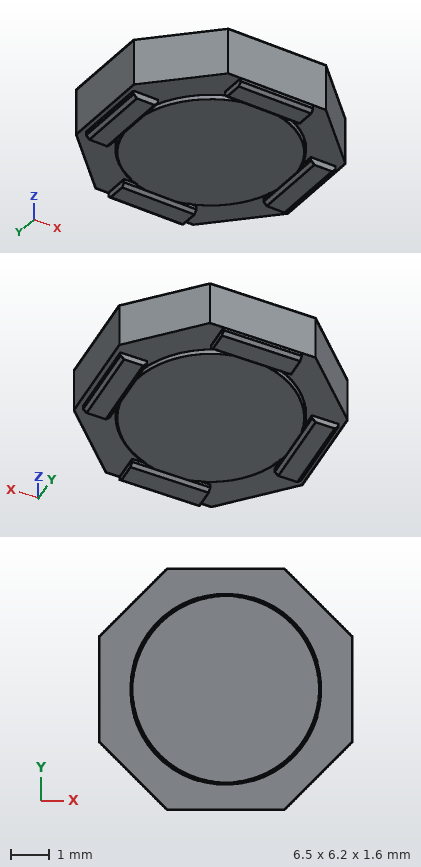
import cadquery as cq

housing_length = 6.5
housing_width = 6.2
corner_cut = 1.75
bore_diameter = 4.9
overall_height = 1.6

pad_length = 2.22
pad_depth = 0.75
pad_thickness = 0.2
pad_chamfer = pad_thickness / 2
pad_outer_reach = housing_width / 2
pad_count = 4

core_diameter = 4.8
core_recess = 0.2
core_bottom = pad_chamfer
core_top = overall_height - core_recess


def make_housing():
    """Octagonal ring standing on the pads, with a through bore."""
    return (
        cq.Workplane("XY")
        .workplane(offset=pad_thickness)
        .rect(housing_length, housing_width)
        .extrude(overall_height - pad_thickness)
        .edges("|Z")
        .chamfer(corner_cut)
        .faces(">Z")
        .workplane()
        .hole(bore_diameter)
    )


def make_pad(angle):
    """Bar along one side, with both long bottom edges chamfered, turned about Z."""
    return (
        cq.Workplane("XY")
        .box(pad_depth, pad_length, pad_thickness, centered=(False, True, False))
        .edges("|Y and <Z")
        .chamfer(pad_chamfer)
        .translate((pad_outer_reach - pad_depth, 0, 0))
        .rotate((0, 0, 0), (0, 0, 1), angle)
    )


def make_core(pads):
    """Disc sunk below the housing top, notched where the pads reach under it."""
    core = (
        cq.Workplane("XY")
        .workplane(offset=core_bottom)
        .circle(core_diameter / 2)
        .extrude(core_top - core_bottom)
    )
    for pad in pads:
        core = core.cut(pad)
    return core


housing = make_housing()
pads = [make_pad(index * 360 / pad_count) for index in range(pad_count)]
core = make_core(pads)

result = cq.Compound.makeCompound([housing.val(), core.val(), *[pad.val() for pad in pads]])